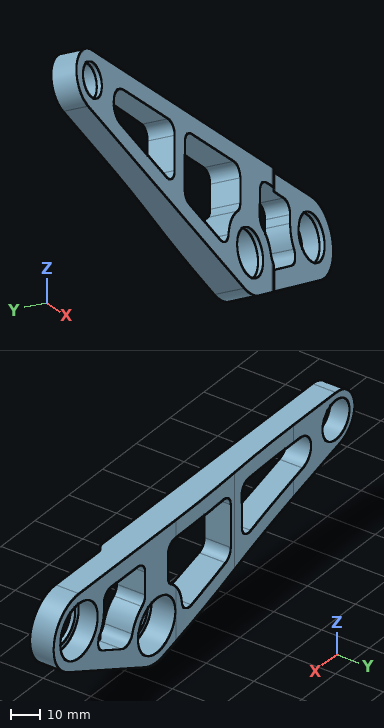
import cadquery as cq
import math

length = 181.0
depth = 12.0
jog = 2.0
height = 52.0

small_eye_radius = 11.0
large_eye_radius = 15.0
small_bore = 13.0
large_bore = 18.0
small_seat = 16.0
large_seat = 22.0
lip = 2.0

rim = 7.2
pocket_clearance = 14.8
corner_radius = 4.5
wedge_radius = 6.7
web_left = 67.9
web_right = 75.0
rib_width = 13.5

step_start = 135.0
step_middle = 137.2
step_end = 141.0
step_middle_y = 0.45
back_rise_start = 36.2
back_rise_end = 108.5

left_eye = (small_eye_radius, -small_eye_radius)
lower_eye = (120.0, large_eye_radius - height)
right_eye = (length - large_eye_radius, -large_eye_radius)


def tangent_normal(start, start_radius, end, end_radius):
    """Unit normal of the line tangent to the undersides of two circles."""
    dx = end[0] - start[0]
    dz = end[1] - start[1]
    angle = math.atan2(dz, dx) - math.asin((end_radius - start_radius) / math.hypot(dx, dz))
    return math.sin(angle), -math.cos(angle)


def offset_point(center, normal, distance):
    return center[0] + normal[0] * distance, center[1] + normal[1] * distance


long_normal = tangent_normal(left_eye, small_eye_radius, lower_eye, large_eye_radius)
short_normal = tangent_normal(lower_eye, large_eye_radius, right_eye, large_eye_radius)


def plate_outline():
    """Three eyes joined by tangent lines, extruded through the whole depth."""
    return (
        cq.Workplane("XZ")
        .moveTo(left_eye[0], 0)
        .lineTo(right_eye[0], 0)
        .threePointArc((length, right_eye[1]), offset_point(right_eye, short_normal, large_eye_radius))
        .lineTo(*offset_point(lower_eye, short_normal, large_eye_radius))
        .threePointArc(
            (lower_eye[0], -height),
            offset_point(lower_eye, long_normal, large_eye_radius),
        )
        .lineTo(*offset_point(left_eye, long_normal, small_eye_radius))
        .threePointArc((0, left_eye[1]), (left_eye[0], 0))
        .close()
        .extrude(-depth)
    )


def side_profile():
    """Profile in XY: stepped front face and gently rising back face."""
    run = step_end - step_middle
    rise = jog - step_middle_y
    half_turn = math.atan2(rise, run)
    radius = run / math.sin(2 * half_turn)
    jog_arc_middle = (
        step_end - radius * math.sin(half_turn),
        jog - radius * (1 - math.cos(half_turn)),
    )
    back_middle = ((back_rise_start + back_rise_end) / 2, depth - jog / 2)
    return (
        cq.Workplane("XY")
        .workplane(offset=-height)
        .moveTo(0, 0)
        .lineTo(step_start, 0)
        .tangentArcPoint((step_middle, step_middle_y), relative=False)
        .threePointArc(jog_arc_middle, (step_end, jog))
        .lineTo(length, jog)
        .lineTo(length, depth)
        .lineTo(back_rise_end, depth)
        .tangentArcPoint(back_middle, relative=False)
        .tangentArcPoint((back_rise_start, depth - jog), relative=False)
        .lineTo(0, depth - jog)
        .close()
        .extrude(height)
    )


def disc(center, radius, start=0.0):
    """Cylinder along Y from the given Y to the back of the part."""
    return (
        cq.Workplane("XZ", origin=(0, start, 0))
        .center(*center)
        .circle(radius)
        .extrude(start - depth)
    )


def inner_edge_z(x, center, normal, radius):
    """Height at x of the lower pocket wall, one rim inside the outline."""
    anchor = offset_point(center, normal, radius - rim)
    return anchor[1] - (x - anchor[0]) * normal[0] / normal[1]


def long_edge_z(x):
    return inner_edge_z(x, left_eye, long_normal, small_eye_radius)


def short_edge_z(x):
    return inner_edge_z(x, right_eye, short_normal, large_eye_radius)


def prism(points):
    return cq.Workplane("XZ").polyline(points).close().extrude(-depth)


def left_pocket():
    slope = long_normal[0] / long_normal[1]
    tip = (long_edge_z(0) + rim) / slope
    pocket = prism([(tip, -rim), (web_left, -rim), (web_left, long_edge_z(web_left))])
    return pocket.edges("|Y and >X").fillet(corner_radius).edges("|Y and <X").fillet(wedge_radius)


def middle_pocket():
    right = lower_eye[0] - rib_width / 2
    pocket = prism([
        (web_right, -rim),
        (right, -rim),
        (right, long_edge_z(right)),
        (web_right, long_edge_z(web_right)),
    ])
    return pocket.cut(disc(lower_eye, large_eye_radius)).edges("|Y").fillet(corner_radius)


def right_pocket():
    left = lower_eye[0] + rib_width / 2
    right = right_eye[0] - pocket_clearance
    pocket = prism([
        (left, -rim),
        (right, -rim),
        (right, right_eye[1]),
        (right_eye[0], right_eye[1]),
        (right_eye[0], short_edge_z(right_eye[0])),
        (left, short_edge_z(left)),
    ])
    pocket = pocket.cut(disc(lower_eye, large_eye_radius)).cut(disc(right_eye, pocket_clearance))
    solid = max(pocket.solids().vals(), key=lambda piece: piece.Volume())
    pocket = cq.Workplane(obj=solid)
    tangent_joint = cq.selectors.NearestToPointSelector((right, depth / 2, right_eye[1]))
    return pocket.edges(cq.selectors.StringSyntaxSelector("|Y") - tangent_joint).fillet(corner_radius)


plate = plate_outline().intersect(side_profile())
for pocket in (left_pocket(), middle_pocket(), right_pocket()):
    plate = plate.cut(pocket)

for center, bore, seat, front in (
    (left_eye, small_bore, small_seat, 0.0),
    (lower_eye, large_bore, large_seat, 0.0),
    (right_eye, large_bore, large_seat, jog),
):
    plate = plate.cut(disc(center, bore / 2)).cut(disc(center, seat / 2, front + lip))

result = plate